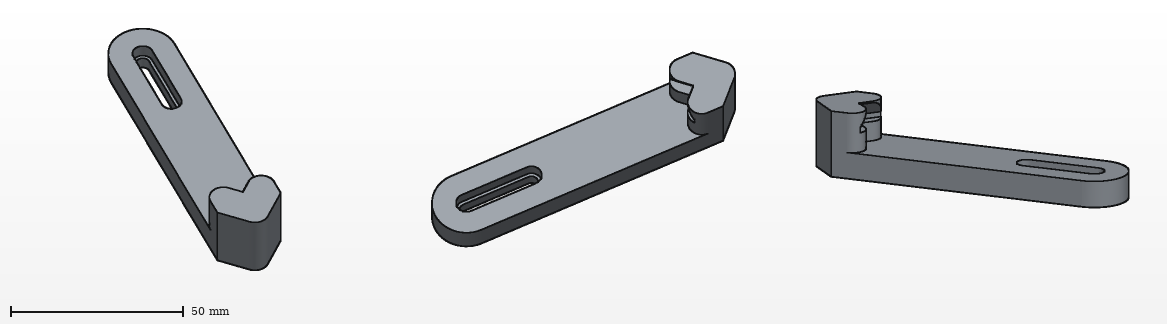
import cadquery as cq
import math

length = 96.3
width = 20.0
height = 20.0
arm_thickness = 8.0
half_width = width / 2

tip_radius = 4.0
flank_meeting_x = length + tip_radius * (math.sqrt(2) - 1)
flank_start_x = flank_meeting_x - half_width

lobe_radius = 4.0
head_start_x = 79.0
lobe_x = head_start_x + lobe_radius
lobe_y = half_width - lobe_radius
lobe_diagonal = lobe_radius / math.sqrt(2)
notch_x = lobe_x - lobe_radius * math.sqrt(2) + lobe_y

undercut_depth = 3.2
undercut_bottom_z = 13.9
undercut_wall_top_z = 15.4
undercut_top_z = 19.6
undercut_x = notch_x + undercut_depth * math.sqrt(2)

slot_travel = 21.0
slot_width = 3.95
recess_width = 6.0
recess_depth = 4.0


def make_arm():
    """Flat bar with a round end and a pointed end."""
    return (
        cq.Workplane("XY")
        .moveTo(half_width, -half_width)
        .lineTo(flank_start_x, -half_width)
        .lineTo(flank_meeting_x, 0)
        .lineTo(flank_start_x, half_width)
        .lineTo(half_width, half_width)
        .threePointArc((0, 0), (half_width, -half_width))
        .close()
        .extrude(arm_thickness)
    )


def make_head():
    """Full-height upright with rounded lobes on either side of the V notch."""
    tangent_x = lobe_x - lobe_diagonal
    tangent_y = lobe_y - lobe_diagonal
    outer_mid_y = lobe_y + lobe_diagonal
    return (
        cq.Workplane("XY")
        .moveTo(lobe_x, -half_width)
        .lineTo(flank_start_x, -half_width)
        .lineTo(flank_meeting_x, 0)
        .lineTo(flank_start_x, half_width)
        .lineTo(lobe_x, half_width)
        .threePointArc((lobe_x - lobe_radius, lobe_y), (tangent_x, tangent_y))
        .lineTo(notch_x, 0)
        .lineTo(tangent_x, -tangent_y)
        .threePointArc((tangent_x, -outer_mid_y), (lobe_x, -half_width))
        .close()
        .extrude(height)
    )


def vee_corners(point_x):
    """Right-angled triangle as wide as the part, pointing along +X."""
    back_x = point_x - half_width
    return [(point_x, 0), (back_x, half_width), (back_x, -half_width)]


def make_undercut():
    wall = (
        cq.Workplane("XY", origin=(0, 0, undercut_bottom_z))
        .polyline(vee_corners(undercut_x))
        .close()
        .extrude(undercut_wall_top_z - undercut_bottom_z)
    )
    slope = (
        cq.Workplane("XY", origin=(0, 0, undercut_wall_top_z))
        .polyline(vee_corners(undercut_x))
        .close()
        .workplane(offset=undercut_top_z - undercut_wall_top_z)
        .polyline(vee_corners(notch_x))
        .close()
        .loft(ruled=True)
    )
    return wall.union(slope)


def make_slot(slot_size, bottom_z):
    """Round-ended slot cutter from bottom_z up to the top of the arm."""
    return (
        cq.Workplane("XY", origin=(half_width + slot_travel / 2, 0, bottom_z))
        .slot2D(slot_travel + slot_size, slot_size)
        .extrude(arm_thickness - bottom_z)
    )


body = make_arm().union(make_head())
body = body.edges("|Z and >X").fillet(tip_radius)
body = body.cut(make_undercut())
body = body.cut(make_slot(slot_width, 0))
result = body.cut(make_slot(recess_width, arm_thickness - recess_depth))